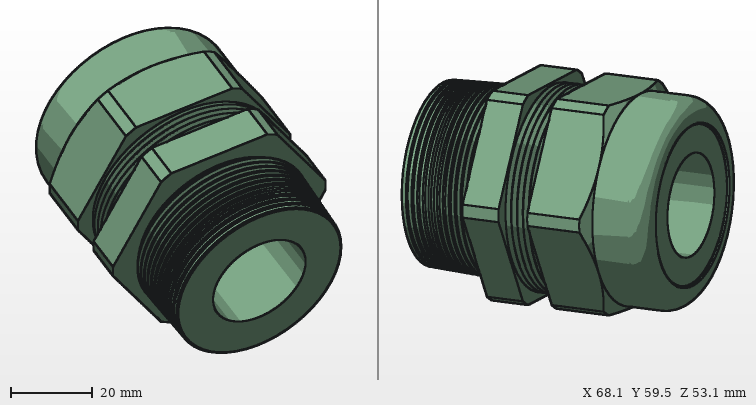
import cadquery as cq
import math

total_length = 68.1
hex_sides = 6
across_flats = 53.1
across_corners = 59.5
hex_radius = across_flats / 2
corner_radius = across_corners / 2

dome_fillet = 4.9
cap_hex_start = 14.2
cap_hex_end = 30.35
hex_chamfer_length = 2.0

body_hex_start = 38.2
body_hex_end = 48.0

thread_run_in = 0.9
end_ridge_count = 12
end_root_start = body_hex_end + thread_run_in
pitch = (total_length - end_root_start) / end_ridge_count
flank_angle = 60
flank_slope = math.tan(math.radians(flank_angle))
full_ridge_height = flank_slope * pitch / 2
middle_root_radius = 24.5
middle_ridge_count = 5
end_root_radius = 22.7
end_crest_radius_first = 23.8
end_crest_radius_last = 23.1

bore_radius = 12.9
seal_radius = 20.35
seal_recess = 0.5
seal_chamfer = 0.4
seal_end = 14.3


def hexagon(start, end):
    """Hexagonal prism along X with flats facing +Z and -Z and its corners cut to the corner radius."""
    length = end - start
    prism = (
        cq.Workplane("YZ", origin=(start, 0, 0))
        .polygon(hex_sides, across_flats / math.cos(math.pi / hex_sides))
        .extrude(length)
    )
    corner_limit = cq.Workplane("YZ", origin=(start, 0, 0)).circle(corner_radius).extrude(length)
    return prism.intersect(corner_limit)


def revolve_around_x(points):
    """Solid of revolution around X from a closed list of (x, radius) points."""
    return cq.Workplane("XY").polyline(points).close().revolve(360, (0, 0, 0), (1, 0, 0))


def make_cap():
    """Dome with a rounded rim, followed by a hexagon whose front corners are chamfered."""
    dome = (
        cq.Workplane("YZ")
        .circle(hex_radius)
        .extrude(cap_hex_end)
        .faces("<X")
        .edges()
        .fillet(dome_fillet)
    )
    chamfer_limit = revolve_around_x([
        (cap_hex_start, 0),
        (cap_hex_start, hex_radius),
        (cap_hex_start + hex_chamfer_length, corner_radius),
        (cap_hex_end, corner_radius),
        (cap_hex_end, 0),
    ])
    return dome.union(hexagon(cap_hex_start, cap_hex_end).intersect(chamfer_limit))


def make_middle_thread():
    """Full V ridges between the hexagons; the last crest lies on the face of the second hexagon."""
    start = body_hex_start - middle_ridge_count * pitch
    crest_radius = middle_root_radius + full_ridge_height
    points = [(start, 0), (start, crest_radius)]
    for ridge in range(middle_ridge_count):
        root_x = start + (ridge + 0.5) * pitch
        points.append((root_x, middle_root_radius))
        points.append((root_x + pitch / 2, crest_radius))
    points.append((body_hex_start, 0))
    return revolve_around_x(points)


def make_end_thread():
    """Ridges on a plain root cylinder, with crests cut flat and lower toward the free end."""
    points = [(body_hex_end, 0), (body_hex_end, end_root_radius), (end_root_start, end_root_radius)]
    crest_step = (end_crest_radius_last - end_crest_radius_first) / (end_ridge_count - 1)
    for ridge in range(end_ridge_count):
        root_x = end_root_start + ridge * pitch
        crest_radius = end_crest_radius_first + ridge * crest_step
        flank_length = (crest_radius - end_root_radius) / flank_slope
        points.append((root_x + flank_length, crest_radius))
        points.append((root_x + pitch - flank_length, crest_radius))
        points.append((root_x + pitch, end_root_radius))
    points.append((total_length, 0))
    return revolve_around_x(points)


def make_housing():
    """Dome cap, hexagons and threads in one piece, bored through, with a pocket for the seal."""
    outside = make_cap().union(make_middle_thread())
    outside = outside.union(hexagon(body_hex_start, body_hex_end)).union(make_end_thread())
    bore = cq.Workplane("YZ").circle(bore_radius).extrude(total_length)
    seal_pocket = cq.Workplane("YZ").circle(seal_radius).extrude(seal_end)
    return outside.cut(bore).cut(seal_pocket)


def make_seal():
    """Sealing ring filling the pocket, set back from the dome face, with a chamfered front rim."""
    return (
        cq.Workplane("YZ", origin=(seal_recess, 0, 0))
        .circle(seal_radius)
        .extrude(seal_end - seal_recess)
        .faces("<X")
        .edges()
        .chamfer(seal_chamfer)
        .cut(cq.Workplane("YZ").circle(bore_radius).extrude(total_length))
    )


housing = make_housing()
seal = make_seal()

result = cq.Compound.makeCompound([housing.solids().val(), seal.solids().val()])